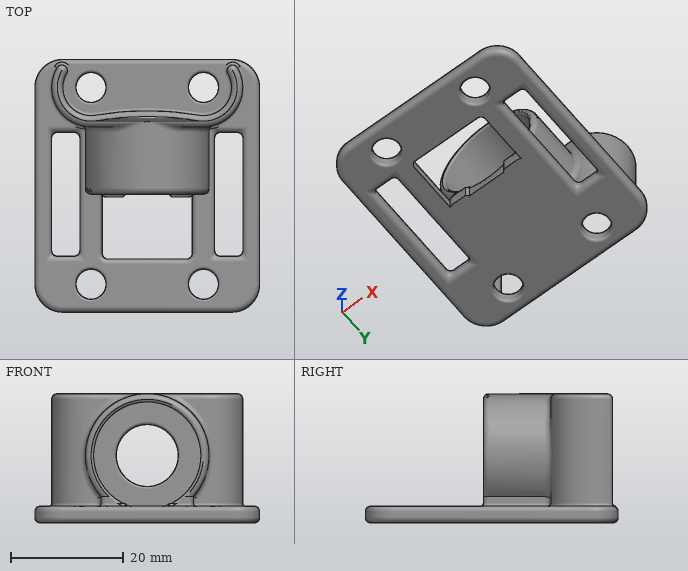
import cadquery as cq
import math

plate_x = 40.0
plate_y = 45.0
plate_z = 3.0
plate_corner_radius = 5.0
edge_round = 1.0
small_round = 0.5

mount_hole_diameter = 5.3
mount_hole_x = 10.0
mount_hole_y = 17.5

slot_x = 5.0
slot_y = 22.0
slot_center_x = 14.5
slot_center_y = -1.5

tube_front_y = -1.5
tube_axis_z = 12.0
tube_radius = 11.0
bore_radius = 19.07 / 2
bore_floor_y = 11.85
cable_hole_diameter = 11.0

window_x = 16.0
window_front_y = -13.0

tube_root_y = 12.0

wall_top_z = 23.0
wall_thickness = 2.0
hook_outer_radius = 7.0
hook_end_angle = 150.0
wall_back_y = 13.35
hook_middle_angle = 210.0
hook_foot_angle = 270.0
wall_top_round = 0.999

web_half_x = 8.2

margin = 0.1

hook_inner_radius = hook_outer_radius - wall_thickness
wall_front_y = mount_hole_y - hook_outer_radius


def box(x0, x1, y0, y1, z0, z1):
    """Axis-aligned box between two corners."""
    return cq.Workplane("XY").box(x1 - x0, y1 - y0, z1 - z0, centered=False).translate((x0, y0, z0))


def make_plate():
    plate = (
        cq.Workplane("XY")
        .rect(plate_x, plate_y)
        .extrude(plate_z)
        .edges("|Z")
        .fillet(plate_corner_radius)
        .faces("<Z or >Z")
        .edges()
        .fillet(edge_round)
    )
    for x in (-mount_hole_x, mount_hole_x):
        for y in (-mount_hole_y, mount_hole_y):
            plate = cut_mount_hole(plate, x, y)
    for x in (-slot_center_x, slot_center_x):
        plate = cut_slot(plate, x)
    return cut_window(plate)


def edges_within(x0, x1, y0, y1, z0, z1):
    """Selector for the edges whose centres lie in a box, widened by the margin."""
    low = (x0 - margin, y0 - margin, z0 - margin)
    high = (x1 + margin, y1 + margin, z1 + margin)
    return cq.selectors.BoxSelector(low, high)


def cut_mount_hole(plate, x, y):
    """Through hole with both rims rounded."""
    radius = mount_hole_diameter / 2
    plate = plate.cut(cq.Workplane("XY").center(x, y).circle(radius).extrude(plate_z))
    around = edges_within(x - radius, x + radius, y - radius, y + radius, 0, plate_z)
    return plate.edges(around).edges("%CIRCLE").fillet(small_round)


def cut_slot(plate, center_x):
    """Through slot, its rims rounded before its corners so that the rims stay square."""
    x0 = center_x - slot_x / 2
    x1 = center_x + slot_x / 2
    y0 = slot_center_y - slot_y / 2
    y1 = slot_center_y + slot_y / 2
    plate = plate.cut(box(x0, x1, y0, y1, 0, plate_z))
    for z in (0, plate_z):
        plate = plate.edges(edges_within(x0, x1, y0, y1, z, z)).fillet(edge_round)
    corners = edges_within(x0, x1, y0, y1, edge_round, plate_z - edge_round)
    return plate.edges(corners).edges("|Z").fillet(edge_round)


def cut_window(plate):
    """Window with its upper rim rounded, except along the foot of the tube."""
    hx = window_x / 2
    cutter = box(-hx, hx, window_front_y, tube_front_y, 0, plate_z).edges("|Z and <Y").fillet(edge_round)
    plate = plate.cut(cutter)
    rim_back_y = tube_front_y - small_round
    rim = edges_within(-hx, hx, window_front_y, rim_back_y, plate_z, plate_z)
    return plate.edges(rim).fillet(edge_round)


def hook_point(radius, angle):
    a = math.radians(angle)
    return (-mount_hole_x + radius * math.cos(a), mount_hole_y + radius * math.sin(a))


def mirrored(p):
    return (-p[0], p[1])


def wall_outline():
    """Two hooks around the rear mounting holes, joined by a straight front and an arched back."""
    rise = mount_hole_y - wall_back_y
    back_radius = (mount_hole_x**2 + rise**2 - hook_inner_radius**2) / (2 * (hook_inner_radius - rise))
    back_center_y = wall_back_y - back_radius
    blend_angle = math.degrees(math.atan2(back_center_y - mount_hole_y, mount_hole_x))
    mid_radius = (hook_outer_radius + hook_inner_radius) / 2
    tip_center = hook_point(mid_radius, hook_end_angle)
    tip_dir = math.radians(hook_end_angle - 90)
    tip = (
        tip_center[0] + wall_thickness / 2 * math.cos(tip_dir),
        tip_center[1] + wall_thickness / 2 * math.sin(tip_dir),
    )
    outer_end = hook_point(hook_outer_radius, hook_end_angle)
    outer_mid = hook_point(hook_outer_radius, hook_middle_angle)
    outer_start = hook_point(hook_outer_radius, hook_foot_angle)
    inner_end = hook_point(hook_inner_radius, hook_end_angle)
    inner_mid = hook_point(hook_inner_radius, hook_middle_angle)
    blend = hook_point(hook_inner_radius, blend_angle)
    return (
        cq.Workplane("XY")
        .moveTo(*mirrored(outer_start))
        .lineTo(*outer_start)
        .threePointArc(outer_mid, outer_end)
        .threePointArc(tip, inner_end)
        .threePointArc(inner_mid, blend)
        .threePointArc((0, wall_back_y), mirrored(blend))
        .threePointArc(mirrored(inner_mid), mirrored(inner_end))
        .threePointArc(mirrored(tip), mirrored(outer_end))
        .threePointArc(mirrored(outer_mid), mirrored(outer_start))
        .close()
    )


def make_wall():
    return wall_outline().extrude(wall_top_z).faces(">Z").edges().fillet(wall_top_round)


def make_tube():
    """Solid tube body that ends inside the wall, with its front rim rounded."""
    return (
        cq.Workplane("XZ", origin=(0, tube_front_y, tube_axis_z))
        .circle(tube_radius)
        .extrude(tube_front_y - tube_root_y)
        .faces("<Y")
        .edges()
        .fillet(edge_round)
    )


def make_web():
    """Block below the tube, as wide as the tube where its top meets it."""
    web_top_z = tube_axis_z - math.sqrt(tube_radius**2 - web_half_x**2)
    web = box(-web_half_x, web_half_x, tube_front_y, tube_root_y, 0, web_top_z)
    return web.edges("|Z and <Y").fillet(edge_round)


def is_tube_joint(edge):
    """True for the edges where the front of the wall meets the tube and the web."""
    b = edge.BoundingBox()
    if b.ymin < wall_front_y - margin or b.ymax > tube_root_y + margin:
        return False
    if max(abs(b.xmin), abs(b.xmax)) > tube_radius + margin:
        return False
    if edge.geomType() == "LINE":
        return b.zlen > margin and abs(abs(b.xmin) - web_half_x) < margin
    return b.xlen > margin


def make_tower():
    """Wall, tube and web, blended together and flared out where they stand on the plate."""
    tower = make_wall().union(make_tube()).union(make_web())
    joints = [e for e in tower.edges().vals() if is_tube_joint(e)]
    tower = tower.newObject(joints).fillet(edge_round)

    floor = box(-plate_x, plate_x, -plate_y, plate_y, 0, plate_z)
    standing = tower.union(floor)
    near_floor = edges_within(-plate_x / 2, plate_x / 2, -plate_y / 2, plate_y / 2, plate_z, plate_z)
    return standing.edges(near_floor).fillet(small_round).cut(floor)


def make_roots(tower):
    """Carry the foot outline down into the plate: past its rounded edges, and full depth below the web."""
    foot = tower.faces("<Z").wires()
    shallow = foot.toPending().extrude(-edge_round, combine=False)
    deep = foot.toPending().extrude(-plate_z, combine=False)
    reach = web_half_x + small_round
    below_web = box(-reach, reach, tube_front_y - small_round, tube_root_y, 0, plate_z)
    return shallow.union(deep.intersect(below_web))


def hole_along_y(radius, start_y, end_y, mouth_round):
    """Round hole on the tube axis, with a rounded mouth at its front end."""
    center_r = radius + mouth_round
    center_y = start_y + mouth_round
    diagonal = mouth_round * math.sqrt(0.5)
    return (
        cq.Workplane("XY")
        .moveTo(0, start_y)
        .lineTo(center_r, start_y)
        .threePointArc((center_r - diagonal, center_y - diagonal), (radius, center_y))
        .lineTo(radius, end_y)
        .lineTo(0, end_y)
        .close()
        .revolve(360, (0, 0, 0), (0, 1, 0))
        .translate((0, 0, tube_axis_z))
    )


def make_foot_gap():
    """Flared gap that parts the foot of the web below the mouth of the bore."""
    mouth_radius = tube_radius - edge_round
    front_half = math.sqrt(mouth_radius**2 - (tube_axis_z - plate_z) ** 2)
    back_half = front_half - small_round
    front_y = tube_front_y - small_round
    outline = [(-front_half, front_y), (front_half, front_y), (back_half, tube_front_y), (-back_half, tube_front_y)]
    return cq.Workplane("XY").polyline(outline).close().extrude(plate_z + small_round)


tower = make_tower()
body = make_plate().union(tower).union(make_roots(tower))

bore_mouth_round = tube_radius - edge_round - bore_radius
bore = hole_along_y(bore_radius, tube_front_y, bore_floor_y, bore_mouth_round)
cable_hole = hole_along_y(cable_hole_diameter / 2, bore_floor_y, plate_y / 2, small_round)

result = body.cut(bore).cut(cable_hole).cut(make_foot_gap())